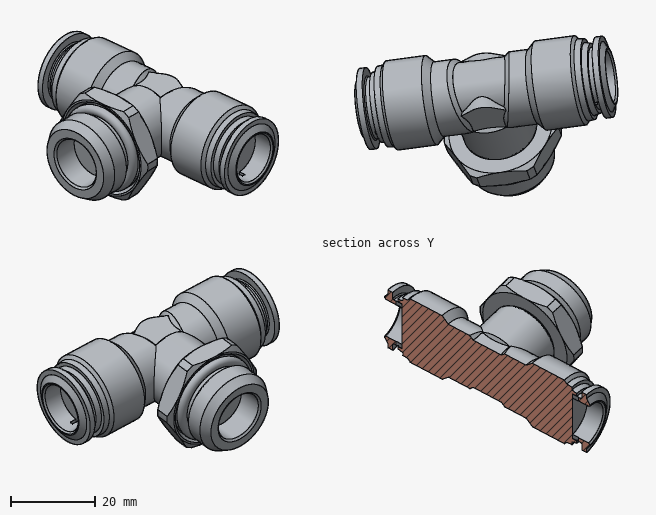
import cadquery as cq
import math


run_half_length = 30.5
tube_radius = 8.95
waist_radius = 8.0
collar_radius = 10.75
collar_inner_x = 11.5
collar_inner_shoulder_x = 13.35
collar_outer_shoulder_x = 22.9
rim_x = 23.6
rim_foot_radius = 9.9
rim_tip_radius = 9.7
sleeve_x = 25.15
sleeve_foot_radius = 8.8
sleeve_tip_radius = 8.4
neck_x = 26.55
neck_radius = 7.45
flange_back_x = 28.0
flange_front_x = 29.45
flange_radius = 9.75
neck_flare = 0.3
nose_base_radius = 8.5
nose_tip_radius = 6.85
port_radius = 6.1
port_mouth = 0.4
port_depth = 5.2
slot_width = 0.85
slot_start_x = 27.0

waist_half_width = 6.35
arm_lean = math.radians(14.7)
arm_step = tube_radius - waist_radius

pad_height = waist_radius
pad_half_width = 6.1
pad_corner_y = 2.5
pad_peak_y = 5.85
pad_front_y = -4.3
pad_front_half_width = 3.65
pad_peak_rounding = 5.2
pad_draft = 17.0

branch_start = 3.25
branch_chamfer = 0.6
branch_end = 14.9
swivel_gap_radius = 8.65

hex_back = 15.3
hex_front = 20.45
hex_across_flats = 25.0
hex_corner_radius = 13.9
hex_turn = 0.65
hex_chamfer_angle = math.radians(30)

seal_section_radius = 1.2
seal_front = 21.7
stem_neck_radius = 8.8
recess_floor_radius = 11.2
recess_mouth_radius = 12.0

plug_back = 22.4
plug_shoulder = 23.35
plug_taper_start = 27.6
plug_end = 29.9
plug_radius = 10.45
plug_tip_radius = 8.95
stem_bore_radius = 6.2
stem_bore_mouth = 0.5
stem_bore_depth = 6.7

seal_center_radius = stem_neck_radius + seal_section_radius
seal_center = seal_front - seal_section_radius
recess_floor = seal_center - seal_section_radius


def turned_about_x(profile):
    """Revolve (x, radius) points about the run axis."""
    return cq.Workplane("XY").polyline(profile).close().revolve(360, (0, 0, 0), (1, 0, 0))


def turned_about_y(profile):
    """Revolve (radius, distance along -Y) points about the branch axis."""
    points = [(radius, -distance) for radius, distance in profile]
    return cq.Workplane("XY").polyline(points).close().revolve(360, (0, 0, 0), (0, 1, 0))


def make_arm():
    """Tube on the +X side, ending at the waist on a chamfered leaning plane."""
    arm = cq.Workplane("YZ").circle(tube_radius).extrude(collar_inner_x)
    slope = math.tan(arm_lean)
    reach = 2 * tube_radius
    cutter = (
        cq.Workplane("XY")
        .polyline([
            (waist_half_width + (reach + -waist_radius) * slope, reach),
            (waist_half_width - (reach + waist_radius) * slope, -reach),
            (-reach, -reach),
            (-reach, reach),
        ])
        .close()
        .extrude(tube_radius + 0.6, both=True)
    )
    return arm.cut(cutter).faces("<X").edges().chamfer(arm_step)


def make_push_in_end():
    """Collar, sleeve, neck and flange on the +X side."""
    return turned_about_x([
        (collar_inner_x, 0),
        (collar_inner_x, tube_radius),
        (collar_inner_shoulder_x, collar_radius),
        (collar_outer_shoulder_x, collar_radius),
        (rim_x, rim_foot_radius),
        (sleeve_x, rim_tip_radius),
        (sleeve_x, sleeve_foot_radius),
        (neck_x, sleeve_tip_radius),
        (neck_x, neck_radius),
        (flange_back_x - neck_flare, neck_radius),
        (flange_back_x, neck_radius + neck_flare),
        (flange_back_x, flange_radius),
        (flange_front_x, flange_radius),
        (flange_front_x, nose_base_radius),
        (run_half_length, nose_tip_radius),
        (run_half_length, 0),
    ])


def make_port():
    """Blind tube port on the +X side with two release slots, as a cutting body."""
    floor_x = run_half_length - port_depth
    bore = turned_about_x([
        (floor_x, 0),
        (floor_x, port_radius),
        (run_half_length - port_mouth, port_radius),
        (run_half_length, port_radius + port_mouth),
        (run_half_length, 0),
    ])
    slots = cq.Workplane("XY").box(
        slot_start_x - floor_x, slot_width, 2 * neck_radius, centered=(False, True, True)
    ).translate((floor_x, 0, 0))
    ring = cq.Workplane("YZ").workplane(offset=floor_x).circle(neck_radius).extrude(port_depth)
    return bore.union(slots.intersect(ring))


def make_pad():
    """Flat pad on top of the waist, with a rounded peak and a drafted back."""
    outline = (
        cq.Sketch()
        .polygon([
            (-pad_front_half_width, pad_front_y),
            (pad_front_half_width, pad_front_y),
            (pad_half_width, pad_corner_y),
            (0, pad_peak_y),
            (-pad_half_width, pad_corner_y),
            (-pad_front_half_width, pad_front_y),
        ])
        .reset()
        .vertices(">Y")
        .fillet(pad_peak_rounding)
    )
    return (
        cq.Workplane("XY")
        .workplane(offset=pad_height)
        .placeSketch(outline)
        .extrude(-pad_height, taper=-pad_draft)
    )


def make_branch():
    """Branch tube with the neck that leads into the hexagon."""
    return turned_about_y([
        (0, branch_start),
        (waist_radius, branch_start),
        (tube_radius, branch_start + branch_chamfer),
        (tube_radius, branch_end),
        (swivel_gap_radius, branch_end),
        (swivel_gap_radius, hex_back),
        (0, hex_back),
    ])


def make_hexagon():
    """Hexagon with conical chamfers, blunt corners and the seal recess."""
    flat_radius = hex_across_flats / 2
    chamfer = (hex_corner_radius - flat_radius) * math.tan(hex_chamfer_angle)
    prism = (
        cq.Workplane("XZ")
        .workplane(offset=hex_back)
        .polygon(6, hex_across_flats / math.cos(math.pi / 6))
        .extrude(hex_front - hex_back)
        .rotate((0, 0, 0), (0, 1, 0), hex_turn)
    )
    envelope = turned_about_y([
        (0, hex_back),
        (flat_radius, hex_back),
        (hex_corner_radius, hex_back + chamfer),
        (hex_corner_radius, hex_front - chamfer),
        (flat_radius, hex_front),
        (0, hex_front),
    ])
    recess = turned_about_y([
        (0, recess_floor),
        (recess_floor_radius, recess_floor),
        (recess_mouth_radius, hex_front),
        (0, hex_front),
    ])
    return prism.intersect(envelope).cut(recess)


def make_plug():
    """Stem neck and plug with the thread's outer diameter."""
    return turned_about_y([
        (0, recess_floor),
        (stem_neck_radius, recess_floor),
        (stem_neck_radius, plug_back),
        (plug_radius, plug_shoulder),
        (plug_radius, plug_taper_start),
        (plug_tip_radius, plug_end),
        (0, plug_end),
    ])


def make_stem_bore():
    """Blind bore of the branch, as a cutting body."""
    floor = plug_end - stem_bore_depth
    return turned_about_y([
        (0, floor),
        (stem_bore_radius, floor),
        (stem_bore_radius, plug_end - stem_bore_mouth),
        (stem_bore_radius + stem_bore_mouth, plug_end),
        (0, plug_end),
    ])


def make_fitting():
    fitting = cq.Workplane("YZ").circle(waist_radius).extrude(waist_half_width + arm_step, both=True)
    pad = make_pad()
    run_end = make_arm().union(make_push_in_end()).cut(make_port())
    parts = [pad, pad.mirror("XY"), run_end, run_end.mirror("YZ"), make_branch(), make_hexagon(), make_plug()]
    for part in parts:
        fitting = fitting.union(part)
    return fitting.cut(make_stem_bore())


def make_seal_ring():
    return (
        cq.Workplane("XY")
        .center(seal_center_radius, -seal_center)
        .circle(seal_section_radius)
        .revolve(360, (-seal_center_radius, 0, 0), (-seal_center_radius, 1, 0))
    )


fitting = make_fitting()
seal_ring = make_seal_ring()
result = cq.Compound.makeCompound([fitting.val(), seal_ring.val()])